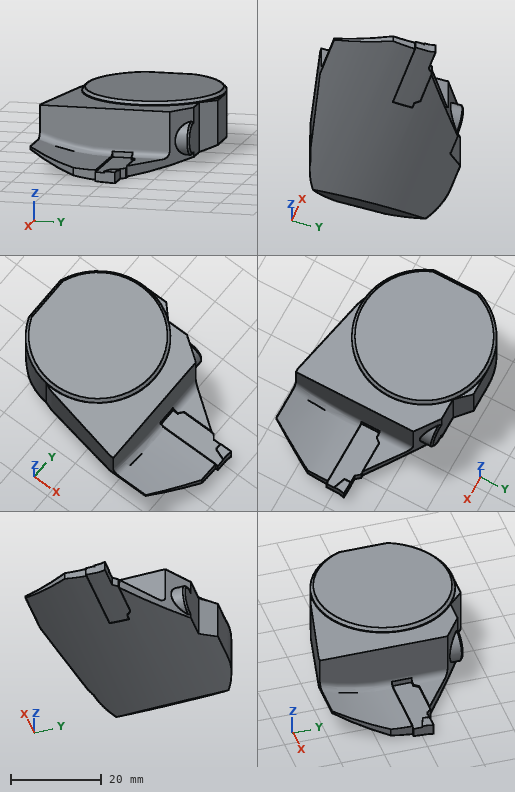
import cadquery as cq


disc_radius = 16.0
disc_top = 14.0
disc_chamfer = 0.7
flat_x = -14.95
heel_top = 7.8

plate_top = 13.1
front_y = -21.0
front_corner_x = 19.9
front_bend_y = -16.7
disc_join_x = -2.05
disc_join_y = -15.9
lug_end_x = 6.65
lug_foot_x = 9.9
back_edge_end_x = 15.15
wall_x = 20.8
wall_fillet = 1.55
tail_end_x = 36.55
tail_bevel_x = 29.85
tail_bevel_y = -9.5
tail_floor = 2.6

shell_radius = 47.1
underside_z = 0.15

connector_radius = 3.75
connector_x = 15.7
connector_z = 6.3
connector_back_y = 12.6
connector_length = 7.85
connector_chamfer = 0.4

insert_front_y = -4.4
insert_back_y = 0.15
insert_rib_y = 1.25
insert_start_x = 20.95
insert_tip_x = 37.4
insert_end_x = 37.1
tip_relief_y = -1.3
insert_nose_x = 32.45
insert_rib_run = 0.95
insert_rib_start_x = 22.25
insert_top = 2.25
pad_top = 2.5
pad_start_x = 34.3
pad_corner_y = -1.4
pad_front_y = -2.45

reach = 104.7


def x_cylinder(radius, y, bottom):
    """Long cylinder along X whose lowest line is at the given Y and Z."""
    return (
        cq.Workplane("YZ", origin=(-reach / 2, y, bottom + radius))
        .circle(radius)
        .extrude(reach)
    )


def make_disc():
    flat_cut = cq.Workplane("XY").box(reach, reach, reach).translate((flat_x - reach / 2, 0, 0))
    disc = cq.Workplane("XY").circle(disc_radius).extrude(disc_top)
    return disc.cut(flat_cut).faces(">Z").edges().chamfer(disc_chamfer)


def make_plate():
    outline = [
        (0, disc_radius),
        (lug_end_x, disc_radius),
        (lug_foot_x, connector_back_y),
        (back_edge_end_x, connector_back_y),
        (insert_nose_x, insert_back_y),
        (tail_end_x, insert_back_y),
        (tail_end_x, tail_bevel_y),
        (tail_bevel_x, front_y),
        (front_corner_x, front_y),
        (0, front_bend_y),
        (disc_join_x, disc_join_y),
    ]
    return cq.Workplane("XY").polyline(outline).close().extrude(plate_top)


def make_tail_clearance():
    """Space above the tail: dished in front of the insert, flat behind it."""
    block_height = reach / 2
    block = (
        cq.Workplane("XY", origin=(wall_x, -reach / 2, tail_floor))
        .box(reach, reach, block_height, centered=False)
    )
    front_half = (
        cq.Workplane("XY", origin=(wall_x, insert_front_y - reach, tail_floor))
        .box(reach, reach, block_height, centered=False)
    )
    dished = front_half.intersect(x_cylinder(shell_radius, insert_front_y, tail_floor))
    back_half = block.cut(front_half)
    clearance = dished.union(back_half)
    return clearance.faces("<X").edges("not(|Z or >Z)").fillet(wall_fillet)


def make_connector():
    return (
        cq.Workplane("XZ", origin=(connector_x, connector_back_y, connector_z))
        .circle(connector_radius)
        .extrude(connector_length)
        .faces(">Y")
        .chamfer(connector_chamfer)
    )


def make_heel_cut():
    return (
        cq.Workplane("XZ", origin=(flat_x, 0, 0))
        .polyline([(0, 0), (0, heel_top), (heel_top, 0)])
        .close()
        .extrude(reach / 2, both=True)
    )


def insert_blank():
    outline = [
        (insert_start_x, insert_front_y),
        (insert_end_x, insert_front_y),
        (insert_end_x, tip_relief_y),
        (insert_tip_x, insert_back_y),
        (insert_nose_x, insert_back_y),
        (insert_nose_x - insert_rib_run, insert_rib_y),
        (insert_rib_start_x + insert_rib_run, insert_rib_y),
        (insert_rib_start_x, insert_back_y),
        (insert_start_x, insert_back_y),
    ]
    return cq.Workplane("XY").polyline(outline).close()


def make_insert():
    blank = insert_blank().extrude(insert_top)
    pad = (
        cq.Workplane("XY")
        .polyline([
            (pad_start_x, insert_back_y),
            (pad_start_x, pad_corner_y),
            (insert_end_x, pad_front_y),
            (insert_end_x, tip_relief_y),
            (insert_tip_x, insert_back_y),
        ])
        .close()
        .extrude(pad_top)
    )
    underside = x_cylinder(shell_radius + underside_z, 0, 0)
    return blank.union(pad).intersect(underside)


def make_holder():
    body = make_plate().cut(make_tail_clearance())
    body = body.union(make_disc()).union(make_connector())
    body = body.cut(make_heel_cut())
    body = body.intersect(x_cylinder(shell_radius, 0, underside_z))
    return body.cut(insert_blank().extrude(plate_top))


holder = make_holder()
insert = make_insert()

result = cq.Compound.makeCompound([holder.val(), insert.val()])